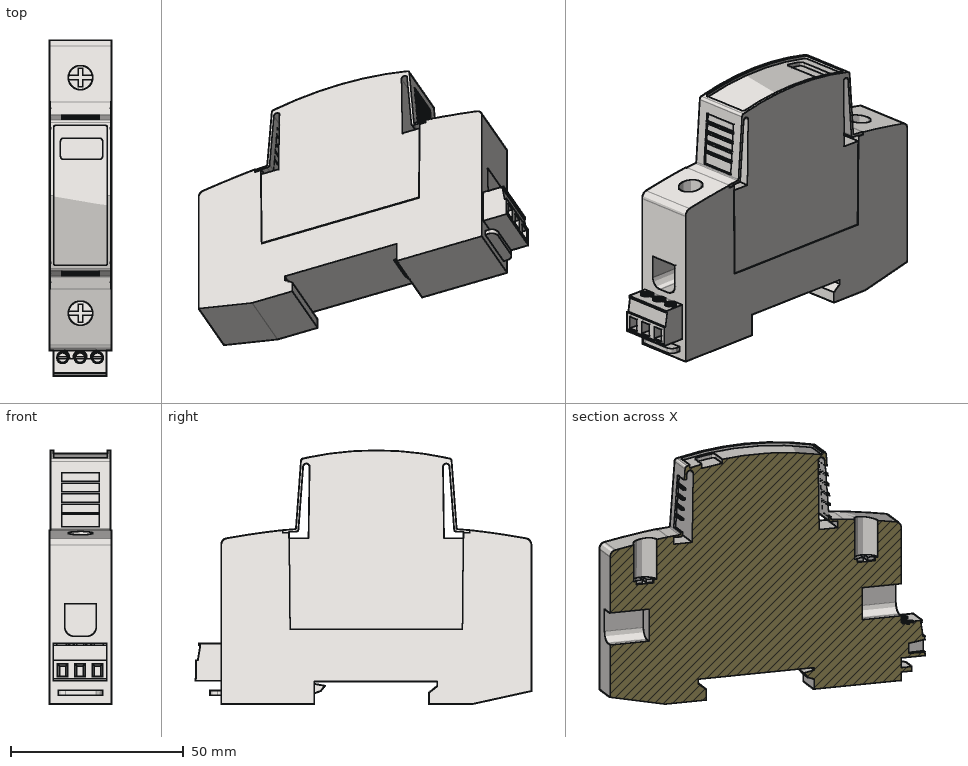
import cadquery as cq
import math


BODY_WIDTH = 18.0
BODY_LENGTH = 89.9
HALF_LENGTH = BODY_LENGTH / 2
TOTAL_LENGTH = 97.3
TOTAL_HEIGHT = 73.5
SHOULDER_CURVE_RADIUS = 245.0
SHOULDER_TOP = 50.4
SHOULDER_TOP_Y = 27.1
SHOULDER_EDGE_FILLET = 2.0
REAR_BEVEL_LENGTH = 17.0
REAR_BEVEL_HEIGHT = 3.75

RAIL_FRONT_Y = -17.95
RAIL_REAR_Y = 15.2
RAIL_DEPTH = 6.5
HOOK_UNDERCUT = 2.4
HOOK_LIP_HEIGHT = 3.3
HOOK_RELIEF_HEIGHT = 5.2
LATCH_WIDTH = 8.0
LATCH_ROOT_TOP = 5.9
LATCH_ROOT_BOTTOM = 3.05
LATCH_TIP_Y = -14.8
LATCH_TIP_Z = 5.3
LATCH_HEEL_Y = -16.1
LATCH_HEEL_Z = 3.75

MODULE_WIDTH = 17.5
POCKET_FLOOR = 21.7
POCKET_HALF_BOTTOM = 24.95
POCKET_HALF_TOP = 25.2
MODULE_LEDGE = 48.05
NECK_HALF_BOTTOM = 19.65
NECK_HALF_TOP = 19.35
CROWN_HALF_LENGTH = 21.8
CROWN_EDGE = 71.0
CROWN_EDGE_FILLET = 0.9
CROWN_RISE = TOTAL_HEIGHT - CROWN_EDGE
CROWN_RADIUS = (CROWN_HALF_LENGTH**2 + CROWN_RISE**2) / (2 * CROWN_RISE)

CLIP_THICKNESS = 0.8
CLIP_HALF_BOTTOM = 23.3
FOOT_TOP = 50.7
FOOT_SEAT_DEPTH = 1.1
CLIP_BEND_INNER = 0.3
CLIP_BEND_OUTER = 0.8
SLOT_TOP = 69.6
SLOT_OUTER_TOP = 21.15

LABEL_WIDTH = 15.6
LABEL_LENGTH = 40.6
LABEL_DEPTH = 0.8
LABEL_CORNER = 0.7
WINDOW_WIDTH = 12.2
WINDOW_LENGTH = 6.2
WINDOW_X = 0.3
WINDOW_Y = 13.5
WINDOW_DEPTH = 1.2
WINDOW_CORNER = 1.0

GRIP_WIDTH = 11.0
GRIP_DEPTH = 0.55
LOWEST_GRIP_BOTTOM = 51.4
LOWEST_GRIP_TOP = 54.95
UPPER_GRIP_BOTTOM = 55.45
UPPER_GRIP_HEIGHT = 2.45
UPPER_GRIP_PITCH = 3.03
UPPER_GRIP_COUNT = 4

SCREW_Y = 34.1
SCREW_HOLE_RADIUS = 3.5
SCREW_HEAD_Z = 38.0
CROSS_ARM_LENGTH = 5.3
CROSS_ARM_WIDTH = 1.25
CROSS_DEPTH = 1.0
WIRE_WIDTH = 9.2
WIRE_BOTTOM = 19.6
WIRE_TOP = 29.1
WIRE_CORNER = 2.9
WIRE_DEPTH = 12.0

CONNECTOR_WIDTH = 15.4
CONNECTOR_X = -0.13
CONNECTOR_BOTTOM = 6.75
CONNECTOR_TOP = 17.6
CONNECTOR_STEP_Z = 12.7
CONNECTOR_STEP = 0.65
CONNECTOR_LIP_HEIGHT = 0.6
CONNECTOR_LIP_SETBACK = 1.0
CONNECTOR_LOWER_LIP = 0.1
CONNECTOR_TILT_SETBACK = 1.35
POLE_PITCH = 5.05
POLE_COUNT = 3
PORT_WIDTH = 3.0
PORT_HEIGHT = 3.7
PORT_Z = 9.8
PORT_INNER_WIDTH = 1.8
PORT_INNER_HEIGHT = 2.9
PORT_INNER_Z = 9.5
PORT_DEPTH = 5.0
SMALL_SCREW_Y = -47.0
SMALL_SCREW_RADIUS = 1.4
SMALL_WELL_RADIUS = 1.65
SMALL_WELL_DEPTH = 0.5
SMALL_HEAD_HEIGHT = 0.2
SMALL_SLOT_WIDTH = 0.6
SMALL_SLOT_DEPTH = 0.5
SCREW_COLLAR_RADIUS = 2.0
COLLAR_NOTCH_LENGTH = 2.3
COLLAR_NOTCH_DEPTH = 1.0

TAB_WIDTH = 13.0
TAB_BOTTOM = 2.5
TAB_THICKNESS = 1.5
TAB_LENGTH = 3.2
TAB_CORNER = 2.05

FRONT_Y = -HALF_LENGTH
CONNECTOR_FRONT_Y = HALF_LENGTH - TOTAL_LENGTH
EMBED = 1.0
CUT_MARGIN = 2.0
EDGE_SEARCH = 0.1
ENDS = (-1, 1)


def block(x_range, y_range, z_range):
    """Box given by its limits along each axis."""
    sizes = [high - low for low, high in (x_range, y_range, z_range)]
    corner = (x_range[0], y_range[0], z_range[0])
    return cq.Workplane("XY").box(*sizes, centered=False).translate(corner)


def extrude_side(profile, width):
    """Extrude a closed YZ profile evenly to both sides of X = 0."""
    return profile.close().extrude(width / 2, both=True)


def side_prism(points, width):
    return extrude_side(cq.Workplane("YZ").polyline(points), width)


def shoulder_z(y):
    """Height of the curved shoulder, whose centre lies in the plane Y = 0."""
    centre_z = SHOULDER_TOP - math.sqrt(SHOULDER_CURVE_RADIUS**2 - SHOULDER_TOP_Y**2)
    return centre_z + math.sqrt(SHOULDER_CURVE_RADIUS**2 - y**2)


def make_housing():
    edge_z = shoulder_z(HALF_LENGTH)
    profile = (
        cq.Workplane("YZ")
        .moveTo(HALF_LENGTH, edge_z)
        .lineTo(HALF_LENGTH, REAR_BEVEL_HEIGHT)
        .lineTo(HALF_LENGTH - REAR_BEVEL_LENGTH, 0)
        .lineTo(RAIL_REAR_Y, 0)
        .lineTo(RAIL_REAR_Y, HOOK_LIP_HEIGHT)
        .lineTo(RAIL_REAR_Y + HOOK_UNDERCUT, HOOK_RELIEF_HEIGHT)
        .lineTo(RAIL_REAR_Y + HOOK_UNDERCUT, RAIL_DEPTH)
        .lineTo(RAIL_FRONT_Y, RAIL_DEPTH)
        .lineTo(RAIL_FRONT_Y, 0)
        .lineTo(FRONT_Y, 0)
        .lineTo(FRONT_Y, edge_z)
        .threePointArc((0, shoulder_z(0)), (HALF_LENGTH, edge_z))
    )
    housing = extrude_side(profile, BODY_WIDTH)
    housing = housing.edges("|X").edges(">Z").fillet(SHOULDER_EDGE_FILLET)

    pocket = side_prism(
        [
            (-POCKET_HALF_BOTTOM, POCKET_FLOOR),
            (POCKET_HALF_BOTTOM, POCKET_FLOOR),
            (POCKET_HALF_TOP, MODULE_LEDGE),
            (POCKET_HALF_TOP, TOTAL_HEIGHT),
            (-POCKET_HALF_TOP, TOTAL_HEIGHT),
            (-POCKET_HALF_TOP, MODULE_LEDGE),
        ],
        BODY_WIDTH + CUT_MARGIN,
    )
    housing = housing.cut(pocket)

    foot_seat = block(
        (-BODY_WIDTH, BODY_WIDTH),
        (-SHOULDER_TOP_Y, SHOULDER_TOP_Y),
        (FOOT_TOP - FOOT_SEAT_DEPTH, TOTAL_HEIGHT),
    )
    return housing.cut(foot_seat)


def make_latch():
    """Spring latch that grips the rail, pointing into the rail recess."""
    points = [
        (RAIL_FRONT_Y - EMBED, LATCH_ROOT_TOP),
        (RAIL_FRONT_Y, LATCH_ROOT_TOP),
        (LATCH_TIP_Y, LATCH_TIP_Z),
        (LATCH_HEEL_Y, LATCH_HEEL_Z),
        (RAIL_FRONT_Y, LATCH_ROOT_BOTTOM),
        (RAIL_FRONT_Y - EMBED, LATCH_ROOT_BOTTOM),
    ]
    return side_prism(points, LATCH_WIDTH)


def make_clip_slot(end):
    """Gap between the module neck and a clip, closed by a round top, as a through cut."""
    slot_width = SLOT_OUTER_TOP - NECK_HALF_TOP
    spring_z = SLOT_TOP - slot_width / 2
    foot_bottom = FOOT_TOP - CLIP_THICKNESS
    inner_y = CLIP_HALF_BOTTOM - CLIP_THICKNESS
    bend_middle = CLIP_BEND_OUTER * (1 - math.sqrt(0.5))
    profile = (
        cq.Workplane("YZ")
        .moveTo(end * NECK_HALF_BOTTOM, MODULE_LEDGE)
        .lineTo(end * NECK_HALF_TOP, spring_z)
        .threePointArc(
            (end * (NECK_HALF_TOP + slot_width / 2), SLOT_TOP),
            (end * SLOT_OUTER_TOP, spring_z),
        )
        .lineTo(end * inner_y, foot_bottom + CLIP_BEND_OUTER)
        .threePointArc(
            (end * (inner_y + bend_middle), foot_bottom + bend_middle),
            (end * (inner_y + CLIP_BEND_OUTER), foot_bottom),
        )
        .lineTo(end * POCKET_HALF_TOP, foot_bottom)
        .lineTo(end * POCKET_HALF_TOP, MODULE_LEDGE)
    )
    return extrude_side(profile, BODY_WIDTH + CUT_MARGIN)


def round_edge(solid, y, z, radius):
    """Fillet the edges along X that pass through the given Y and Z."""
    near = cq.selectors.BoxSelector(
        (-BODY_WIDTH, y - EDGE_SEARCH, z - EDGE_SEARCH),
        (BODY_WIDTH, y + EDGE_SEARCH, z + EDGE_SEARCH),
    )
    edges = solid.edges("|X").edges(near).vals()
    return cq.Workplane(solid.val().fillet(radius, edges))


def crown_z(y):
    """Height of the crown, an arc through its peak and both of its ends."""
    return TOTAL_HEIGHT - CROWN_RADIUS + math.sqrt(CROWN_RADIUS**2 - y**2)


def make_module():
    foot_seat_z = FOOT_TOP - FOOT_SEAT_DEPTH
    side_points = [
        (POCKET_HALF_BOTTOM, POCKET_FLOOR),
        (POCKET_HALF_TOP, MODULE_LEDGE),
        (POCKET_HALF_TOP, foot_seat_z),
        (SHOULDER_TOP_Y, foot_seat_z),
        (SHOULDER_TOP_Y, SHOULDER_TOP),
        (CLIP_HALF_BOTTOM, FOOT_TOP),
        (CROWN_HALF_LENGTH, CROWN_EDGE),
    ]
    arc_middle_y = CROWN_HALF_LENGTH / 2
    arc_middle_z = crown_z(arc_middle_y)
    profile = (
        cq.Workplane("YZ", origin=(-MODULE_WIDTH / 2, 0, 0))
        .polyline(side_points)
        .threePointArc((arc_middle_y, arc_middle_z), (0, TOTAL_HEIGHT))
        .threePointArc((-arc_middle_y, arc_middle_z), (-CROWN_HALF_LENGTH, CROWN_EDGE))
    )
    for y, z in reversed(side_points[:-1]):
        profile = profile.lineTo(-y, z)
    module = profile.close().extrude(MODULE_WIDTH, clean=False)

    for end in ENDS:
        module = round_edge(module, end * CROWN_HALF_LENGTH, CROWN_EDGE, CROWN_EDGE_FILLET)
        module = round_edge(module, end * CLIP_HALF_BOTTOM, FOOT_TOP, CLIP_BEND_INNER)
        module = module.cut(make_clip_slot(end), clean=False)
    return module


def crown_layer(depth):
    """Everything above a surface concentric with the crown and lying the given depth below it."""
    core = (
        cq.Workplane("YZ")
        .center(0, TOTAL_HEIGHT - CROWN_RADIUS)
        .circle(CROWN_RADIUS - depth)
        .extrude(BODY_WIDTH, both=True)
    )
    cover = block(
        (-BODY_WIDTH, BODY_WIDTH),
        (-CROWN_HALF_LENGTH, CROWN_HALF_LENGTH),
        (SLOT_TOP - CUT_MARGIN, TOTAL_HEIGHT + CUT_MARGIN),
    )
    return cover.cut(core)


def rounded_column(width, length, corner, x, y):
    """Upright rounded rectangle reaching over the full height of the part."""
    column = cq.Workplane("XY").rect(width, length).extrude(TOTAL_HEIGHT + CUT_MARGIN)
    return column.edges("|Z").fillet(corner).translate((x, y, 0))


def make_crown_recesses():
    label = rounded_column(LABEL_WIDTH, LABEL_LENGTH, LABEL_CORNER, 0, 0)
    window = rounded_column(WINDOW_WIDTH, WINDOW_LENGTH, WINDOW_CORNER, WINDOW_X, WINDOW_Y)
    label = label.intersect(crown_layer(LABEL_DEPTH))
    window = window.intersect(crown_layer(LABEL_DEPTH + WINDOW_DEPTH))
    return label.union(window)


def clip_outer_y(z):
    """Distance of the sloping outer clip wall from the plane Y = 0."""
    slope = (CROWN_HALF_LENGTH - CLIP_HALF_BOTTOM) / (CROWN_EDGE - FOOT_TOP)
    return CLIP_HALF_BOTTOM + slope * (z - FOOT_TOP)


def make_grip_pocket(end, bottom, top):
    """Pocket of even depth in a sloping clip wall."""
    points = [
        (end * (clip_outer_y(bottom) - GRIP_DEPTH), bottom),
        (end * (clip_outer_y(top) - GRIP_DEPTH), top),
        (end * (clip_outer_y(top) + EMBED), top),
        (end * (clip_outer_y(bottom) + EMBED), bottom),
    ]
    return side_prism(points, GRIP_WIDTH)


def make_grip(end):
    """Pockets one above the other, parted by thin finger ribs."""
    grip = make_grip_pocket(end, LOWEST_GRIP_BOTTOM, LOWEST_GRIP_TOP)
    for index in range(UPPER_GRIP_COUNT):
        bottom = UPPER_GRIP_BOTTOM + index * UPPER_GRIP_PITCH
        grip = grip.union(make_grip_pocket(end, bottom, bottom + UPPER_GRIP_HEIGHT))
    return grip


def make_terminal(end):
    """Screw hole with a cross-slotted screw at its floor, and the wire opening below it."""
    hole = (
        cq.Workplane("XY", origin=(0, end * SCREW_Y, SCREW_HEAD_Z))
        .circle(SCREW_HOLE_RADIUS)
        .extrude(TOTAL_HEIGHT - SCREW_HEAD_Z)
    )
    cross_floor = cq.Workplane("XY", origin=(0, end * SCREW_Y, SCREW_HEAD_Z - CROSS_DEPTH))
    cross = cross_floor.rect(2 * SCREW_HOLE_RADIUS, CROSS_ARM_WIDTH).extrude(CROSS_DEPTH)
    cross = cross.union(cross_floor.rect(CROSS_ARM_WIDTH, CROSS_ARM_LENGTH).extrude(CROSS_DEPTH))
    wire_y = sorted((end * HALF_LENGTH, end * (HALF_LENGTH - WIRE_DEPTH)))
    wire = block((-WIRE_WIDTH / 2, WIRE_WIDTH / 2), wire_y, (WIRE_BOTTOM, WIRE_TOP))
    wire = wire.edges("|Y and <Z").fillet(WIRE_CORNER)
    return hole.union(cross).union(wire)


def make_port(x):
    """Tapered wire port in the connector front."""
    return (
        cq.Workplane("XZ", origin=(x, CONNECTOR_FRONT_Y, PORT_Z))
        .rect(PORT_WIDTH, PORT_HEIGHT)
        .workplane(offset=-PORT_DEPTH)
        .center(0, PORT_INNER_Z - PORT_Z)
        .rect(PORT_INNER_WIDTH, PORT_INNER_HEIGHT)
        .loft(ruled=True)
    )


def disc(x, bottom, radius, height):
    """Upright cylinder on the axis of a small connector screw."""
    plane = cq.Workplane("XY", origin=(x, SMALL_SCREW_Y, bottom))
    return plane.circle(radius).extrude(height)


def make_small_screw(x):
    """Well in the connector top that leaves a slotted screw head standing on its floor."""
    well_z = CONNECTOR_TOP - SMALL_WELL_DEPTH
    slot_z = well_z + SMALL_HEAD_HEIGHT - SMALL_SLOT_DEPTH
    well = disc(x, well_z, SMALL_WELL_RADIUS, SMALL_WELL_DEPTH)
    head = disc(x, well_z, SMALL_SCREW_RADIUS, SMALL_HEAD_HEIGHT)
    slot = (
        cq.Workplane("XY", origin=(x, SMALL_SCREW_Y, slot_z))
        .rect(2 * SMALL_SCREW_RADIUS, SMALL_SLOT_WIDTH)
        .extrude(SMALL_SLOT_DEPTH)
    )
    return well.cut(head).union(slot)


def make_collar_notches(pole_positions):
    """Notches between neighbouring screws, bounded by round collars."""
    notch_z = (CONNECTOR_TOP - COLLAR_NOTCH_DEPTH, CONNECTOR_TOP)
    notch_x = (pole_positions[0], pole_positions[-1])
    notches = block(notch_x, (FRONT_Y - COLLAR_NOTCH_LENGTH, FRONT_Y), notch_z)
    for x in pole_positions:
        collar = disc(x, notch_z[0], SCREW_COLLAR_RADIUS, COLLAR_NOTCH_DEPTH)
        wall = block(
            (x - SCREW_COLLAR_RADIUS / 2, x + SCREW_COLLAR_RADIUS / 2),
            (SMALL_SCREW_Y, FRONT_Y),
            notch_z,
        )
        notches = notches.cut(collar).cut(wall)
    return notches


def make_connector():
    lip_z = CONNECTOR_TOP - CONNECTOR_LIP_HEIGHT
    lower_lip_z = CONNECTOR_BOTTOM + CONNECTOR_LIP_HEIGHT
    port_face_y = CONNECTOR_FRONT_Y + CONNECTOR_LOWER_LIP
    step_y = CONNECTOR_FRONT_Y + CONNECTOR_STEP
    points = [
        (FRONT_Y + EMBED, CONNECTOR_BOTTOM),
        (CONNECTOR_FRONT_Y, CONNECTOR_BOTTOM),
        (CONNECTOR_FRONT_Y, lower_lip_z),
        (port_face_y, lower_lip_z),
        (port_face_y, CONNECTOR_STEP_Z),
        (step_y, CONNECTOR_STEP_Z),
        (CONNECTOR_FRONT_Y + CONNECTOR_TILT_SETBACK, lip_z),
        (CONNECTOR_FRONT_Y + CONNECTOR_LIP_SETBACK, lip_z),
        (CONNECTOR_FRONT_Y + CONNECTOR_LIP_SETBACK, CONNECTOR_TOP),
        (FRONT_Y + EMBED, CONNECTOR_TOP),
    ]
    connector = side_prism(points, CONNECTOR_WIDTH).translate((CONNECTOR_X, 0, 0))

    middle = (POLE_COUNT - 1) / 2
    pole_positions = [CONNECTOR_X + (index - middle) * POLE_PITCH for index in range(POLE_COUNT)]
    for x in pole_positions:
        connector = connector.cut(make_port(x)).cut(make_small_screw(x))
    return connector.cut(make_collar_notches(pole_positions))


def make_tab():
    tab = block(
        (-TAB_WIDTH / 2, TAB_WIDTH / 2),
        (FRONT_Y - TAB_LENGTH, FRONT_Y + EMBED),
        (TAB_BOTTOM, TAB_BOTTOM + TAB_THICKNESS),
    )
    return tab.edges("|Z and <Y").fillet(TAB_CORNER)


housing = make_housing()
module = make_module().cut(make_crown_recesses(), clean=False)
for end in ENDS:
    housing = housing.cut(make_terminal(end))
    module = module.cut(make_grip(end), clean=False)

result = housing
for piece in (module, make_latch(), make_connector(), make_tab()):
    result = result.union(piece, clean=False)